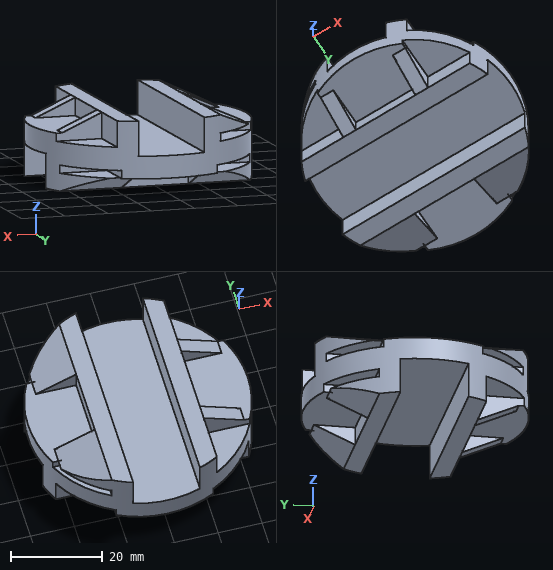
import cadquery as cq

diameter = 50
radius = diameter / 2
total_height = 16.95
half_height = total_height / 2
disc_face = 4.4
channel_floor = 0.65
channel_width = 15.2
rail_outer = 11.95
wedge_reach = 21.15
wedge_inner = 7.75
wedge_outer = 11.05
recess_depth = 1.8


def block(x_range, y_range, z_range):
    """Box spanning the given ranges."""
    spans = [high - low for low, high in (x_range, y_range, z_range)]
    return cq.Workplane("XY").box(*spans, centered=False).translate(
        (x_range[0], y_range[0], z_range[0])
    )


def wedge(side, y_start, y_end):
    """Triangular brace from the outer side of a rail down to the disc face."""
    profile = [
        (side * rail_outer, disc_face),
        (side * wedge_reach, disc_face),
        (side * rail_outer, half_height),
    ]
    return (
        cq.Workplane("XZ", origin=(0, y_start, 0))
        .polyline(profile)
        .close()
        .extrude(y_start - y_end)
    )


def half_body():
    """Upper half before rounding: plate, rails, wedges, corner recesses and channel."""
    body = block((-radius, radius), (-radius, radius), (0, disc_face))
    rails = block((-rail_outer, rail_outer), (-radius, radius), (0, half_height))

    for x_range in ((-radius, -rail_outer), (rail_outer, radius)):
        for y_range in ((-radius, -wedge_outer), (wedge_outer, radius)):
            body = body.cut(block(x_range, y_range, (disc_face - recess_depth, disc_face)))
    body = body.union(rails)

    for direction in (-1, 1):
        body = body.union(wedge(-1, direction * wedge_inner, direction * radius))
        body = body.union(wedge(1, direction * wedge_inner, direction * wedge_outer))

    half_channel = channel_width / 2
    channel = block(
        (-half_channel, half_channel), (-radius, radius), (channel_floor, half_height)
    )
    return body.cut(channel)


upper = half_body()
lower = upper.rotate((0, 0, 0), (1, -1, 0), 180)

envelope = cq.Workplane("XY").circle(radius).extrude(half_height, both=True)
result = upper.union(lower).intersect(envelope)